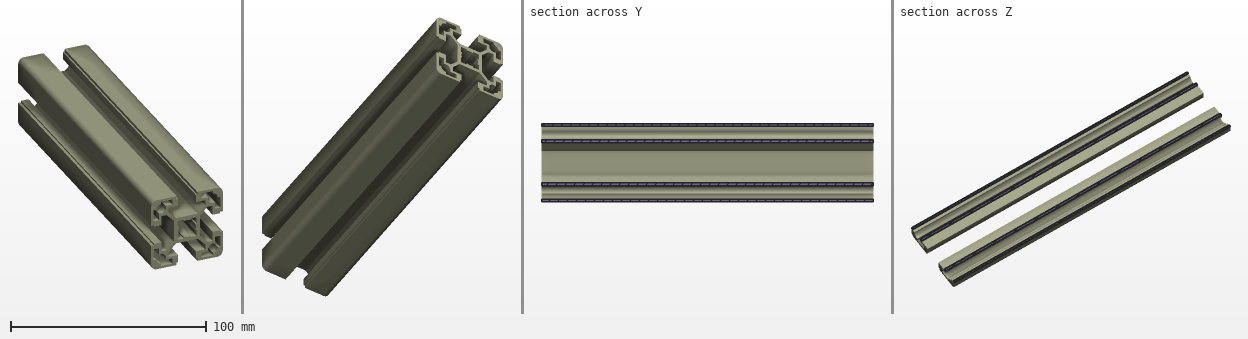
import cadquery as cq

length = 170.0
side = 40.0
half = side / 2

corner_radius = 3.0
channel_centre = 14.5
channel_radius = 2.7

thin_wall = 1.4
arm_end = 8.2
arm_floor = 15.6

slot_half_width = 5.0
mouth_half_width = 5.8
mouth_depth = 1.5
lip_underside = arm_floor - thin_wall
pocket_half_width = 10.2
core_half = 7.3
web_offset = 1.22

bore_radius = 5.0
bore_pocket_start = 1.9
bore_pocket_end = 5.5


def box_between(y_start, y_end, z_start, z_end):
    """Full-length bar between two Y and two Z positions."""
    return cq.Workplane("XY").box(length, y_end - y_start, z_end - z_start).translate(
        (0, (y_start + y_end) / 2, (z_start + z_end) / 2)
    )


def round_bar(radius, y_centre, z_centre):
    """Full-length cylinder along X."""
    return (
        cq.Workplane("YZ")
        .center(y_centre, z_centre)
        .circle(radius)
        .extrude(length / 2, both=True)
    )


def quarter_turn(shape, index):
    """Shape turned about the part's long axis by a number of quarter turns."""
    return shape.rotate((0, 0, 0), (1, 0, 0), 90 * index)


def slot_cutter():
    """T-slot of the +Z side: stepped mouth, undercut pocket and sloping web faces."""
    right_side = [
        (mouth_half_width, half),
        (mouth_half_width, half - mouth_depth),
        (slot_half_width, half - mouth_depth),
        (slot_half_width, lip_underside),
        (pocket_half_width, lip_underside),
        (pocket_half_width, pocket_half_width + web_offset),
        (core_half - web_offset, core_half),
    ]
    left_side = [(-y, z) for y, z in reversed(right_side)]
    return (
        cq.Workplane("YZ")
        .polyline(right_side + left_side)
        .close()
        .extrude(length / 2, both=True)
    )


def corner_channel():
    """Hollow of the +Y +Z corner: a round channel with two arms."""
    arm_top = half - thin_wall
    channel = round_bar(channel_radius, channel_centre, channel_centre)
    channel = channel.union(box_between(arm_end, channel_centre, arm_floor, arm_top))
    return channel.union(box_between(arm_floor, arm_top, arm_end, channel_centre))


def bore_pocket():
    """Square pocket in the +Y +Z corner of the central bore."""
    return box_between(bore_pocket_start, bore_pocket_end, bore_pocket_start, bore_pocket_end)


profile = cq.Workplane("XY").box(length, side, side).edges("|X").fillet(corner_radius)
profile = profile.cut(round_bar(bore_radius, 0, 0))
for turn in range(4):
    for cutter in (slot_cutter(), corner_channel(), bore_pocket()):
        profile = profile.cut(quarter_turn(cutter, turn))

result = profile